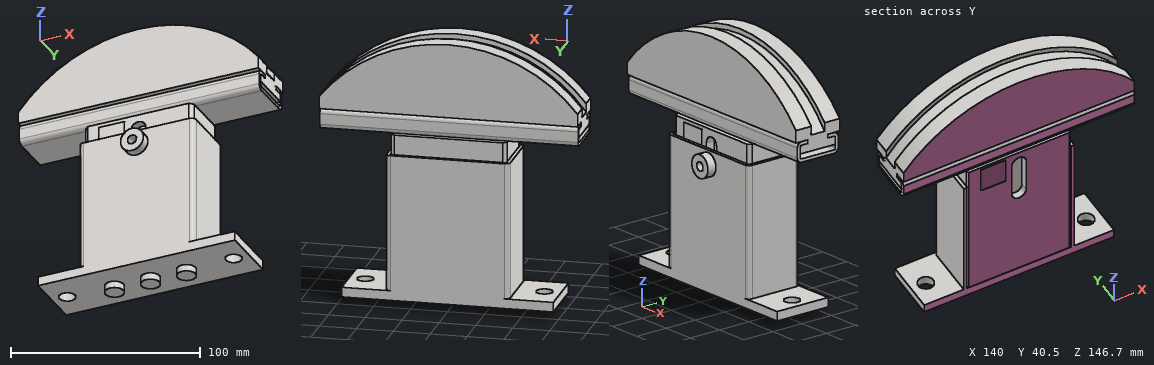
import cadquery as cq
import math

FOOT_HEIGHT = 3.8
BASE_THICKNESS = 5.5
HOUSING_TOP = 83.9
CARRIAGE_TOP = 94.6
RAIL_HEIGHT = 11.7
TOTAL_HEIGHT = 146.7
BASE_TOP = FOOT_HEIGHT + BASE_THICKNESS
RAIL_TOP = CARRIAGE_TOP + RAIL_HEIGHT

HOUSING_LENGTH = 67.0
HOUSING_WIDTH = 35.0
WALL = 2.0
HOUSING_FILLET = 2.6
BASE_LENGTH = 114.9
BASE_HOLE_DIAMETER = 9.0
BASE_HOLE_INSET = 9.0
FOOT_DIAMETER = 10.4
FOOT_SPACING = 21.0
FOOT_COUNT = 3
BOSS_DIAMETER = 13.3
BOSS_LENGTH = 5.5
BOSS_HOLE_DIAMETER = 5.1
BOSS_Z = 75.8
INNER_LENGTH = HOUSING_LENGTH - 2 * WALL
INNER_WIDTH = HOUSING_WIDTH - 2 * WALL

CARRIAGE_WIDTH = 30.1
CARRIAGE_CHAMFER = 2.0
SLOT_WIDTH = 8.4
SLOT_TOP = 90.5
SLOT_DEPTH = 5.3
SLOT_LENGTH = 2 * (SLOT_TOP - BOSS_Z)

INSERT_SIZE = 15.0
INSERT_DEPTH = SLOT_DEPTH
INSERT_X = -15.5
INSERT_TOP = 92.5

HEAD_LENGTH = 140.0
RAIL_WIDTH = 28.0
RAIL_FILLET = 3.0
RAIL_INNER_FILLET = RAIL_FILLET - WALL
RAIL_OPENING = 13.6
CAVITY_WIDTH = RAIL_WIDTH - 2 * WALL

HEAD_WIDTH = 30.1
HEAD_RADIUS = 90.1
GROOVE_WIDTH = 9.1
GROOVE_DEPTH = 3.0
HEAD_FOOT_HEIGHT = 4.7


def upright_block(length, width, bottom, top):
    """Block centred on the Z axis between two heights."""
    return cq.Workplane("XY", origin=(0, 0, bottom)).rect(length, width).extrude(top - bottom)


def lengthwise_bar(width, bottom, top):
    """Bar as long as the head, centred on the Z axis, between two heights."""
    return upright_block(HEAD_LENGTH, width, bottom, top)


def make_housing():
    base = upright_block(BASE_LENGTH, HOUSING_WIDTH, FOOT_HEIGHT, BASE_TOP)
    hole_x = BASE_LENGTH / 2 - BASE_HOLE_INSET
    base = base.faces(">Z").workplane().pushPoints([(-hole_x, 0), (hole_x, 0)]).hole(BASE_HOLE_DIAMETER)

    tube = upright_block(HOUSING_LENGTH, HOUSING_WIDTH, BASE_TOP, HOUSING_TOP)
    tube = tube.edges("|Z").fillet(HOUSING_FILLET)
    cavity = upright_block(INNER_LENGTH, INNER_WIDTH, BASE_TOP, HOUSING_TOP)
    cavity = cavity.edges("|Z").fillet(HOUSING_FILLET - WALL)

    feet = (
        cq.Workplane("XY")
        .rarray(FOOT_SPACING, 1.5, FOOT_COUNT, 1)
        .circle(FOOT_DIAMETER / 2)
        .extrude(FOOT_HEIGHT)
    )

    boss_plane = cq.Workplane("XZ", origin=(0, -HOUSING_WIDTH / 2, BOSS_Z))
    boss = boss_plane.circle(BOSS_DIAMETER / 2).extrude(BOSS_LENGTH)
    boss_hole = boss_plane.workplane(offset=-WALL).circle(BOSS_HOLE_DIAMETER / 2).extrude(WALL + BOSS_LENGTH)

    return base.union(tube.cut(cavity)).union(feet).union(boss).cut(boss_hole)


def make_insert():
    return (
        cq.Workplane("XY")
        .box(INSERT_SIZE, INSERT_DEPTH, INSERT_SIZE, centered=(True, False, False))
        .translate((INSERT_X, -CARRIAGE_WIDTH / 2, INSERT_TOP - INSERT_SIZE))
    )


def make_carriage():
    block = upright_block(INNER_LENGTH, CARRIAGE_WIDTH, BASE_TOP, CARRIAGE_TOP)
    block = block.edges("|Z").chamfer(CARRIAGE_CHAMFER)
    slot = (
        cq.Workplane("XZ", origin=(0, -CARRIAGE_WIDTH / 2, BOSS_Z))
        .slot2D(SLOT_LENGTH, SLOT_WIDTH, 90)
        .extrude(-SLOT_DEPTH)
    )
    return block.cut(slot).cut(make_insert())


def make_rail_cavity():
    cavity = lengthwise_bar(CAVITY_WIDTH, CARRIAGE_TOP + WALL, RAIL_TOP - WALL)
    return cavity.edges("|X").fillet(RAIL_INNER_FILLET)


def make_rail():
    channel = lengthwise_bar(RAIL_WIDTH, CARRIAGE_TOP, RAIL_TOP).edges("|X").fillet(RAIL_FILLET)
    opening = lengthwise_bar(RAIL_OPENING, RAIL_TOP - WALL, RAIL_TOP)
    return channel.cut(make_rail_cavity()).cut(opening)


def crest_outline(radius):
    """Closed outline in XZ: flat underside, upright ends and an arc about the centre of the crest."""
    half_length = HEAD_LENGTH / 2
    centre_z = TOTAL_HEIGHT - HEAD_RADIUS
    arc_end_z = centre_z + math.sqrt(radius**2 - half_length**2)
    return (
        cq.Workplane("XZ")
        .moveTo(-half_length, RAIL_TOP)
        .lineTo(-half_length, arc_end_z)
        .threePointArc((0, centre_z + radius), (half_length, arc_end_z))
        .lineTo(half_length, RAIL_TOP)
        .close()
    )


def make_head():
    crest = crest_outline(HEAD_RADIUS).extrude(HEAD_WIDTH / 2, both=True)
    core = crest_outline(HEAD_RADIUS - GROOVE_DEPTH).extrude(GROOVE_WIDTH / 2, both=True)
    groove_space = lengthwise_bar(GROOVE_WIDTH, RAIL_TOP, TOTAL_HEIGHT)
    grooved_crest = crest.cut(groove_space).union(core)

    foot_top = RAIL_TOP - WALL
    neck = lengthwise_bar(RAIL_OPENING, foot_top, RAIL_TOP)
    foot = lengthwise_bar(CAVITY_WIDTH, foot_top - HEAD_FOOT_HEIGHT, foot_top)
    foot = foot.intersect(make_rail_cavity())
    return grooved_crest.union(neck).union(foot)


housing = make_housing()
carriage = make_carriage()
insert = make_insert()
rail = make_rail()
head = make_head()

result = cq.Compound.makeCompound(
    [housing.val(), carriage.val(), insert.val(), rail.val(), head.val()]
)